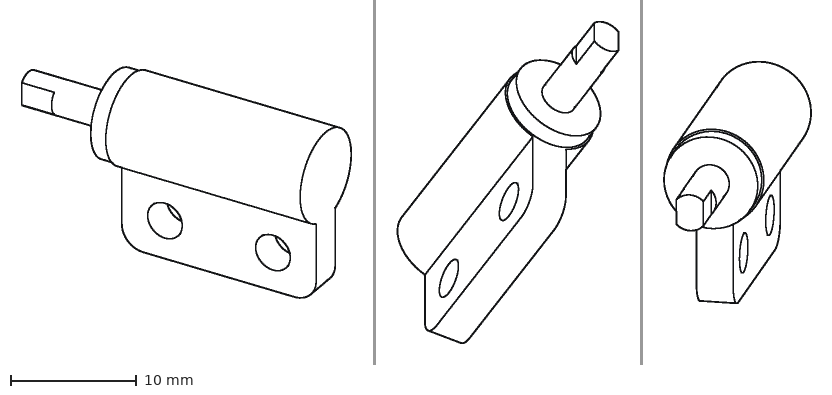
import cadquery as cq


barrel_diameter = 8.0
barrel_length = 18.0
leaf_thickness = 3.0
leaf_bottom_z = -11.0
leaf_corner_radius = 2.0
hole_diameter = 3.2
hole_spacing = 10.0
hole_end_distance = (barrel_length - hole_spacing) / 2
hole_height_above_bottom = 3.5

collar_diameter = 7.65
collar_length = 1.5

shaft_diameter = 3.0
shaft_exposed_length = 8.0
flat_length = 3.0
width_across_flats = 2.2


def rod(diameter, start_x, end_x):
    """Solid cylinder along the X axis."""
    return cq.Workplane("YZ").workplane(offset=start_x).circle(diameter / 2).extrude(end_x - start_x)


def make_leaf():
    """Plate from the barrel axis down, with rounded lower corners and two screw holes."""
    plate = (
        cq.Workplane("XY")
        .box(barrel_length, leaf_thickness, -leaf_bottom_z, centered=(False, True, False))
        .translate((0, 0, leaf_bottom_z))
        .edges("|Y and <Z")
        .fillet(leaf_corner_radius)
    )
    hole_z = leaf_bottom_z + hole_height_above_bottom
    hole_centers = [(hole_end_distance + i * hole_spacing, hole_z) for i in range(2)]
    holes = (
        cq.Workplane("XZ", origin=(0, leaf_thickness / 2, 0))
        .pushPoints(hole_centers)
        .circle(hole_diameter / 2)
        .extrude(leaf_thickness)
    )
    return plate.cut(holes)


def make_housing():
    """Barrel and leaf as one solid."""
    return rod(barrel_diameter, 0, barrel_length).union(make_leaf())


def make_collar():
    """Ring on the front face of the barrel, bored for the shaft."""
    return rod(collar_diameter, -collar_length, 0).cut(rod(shaft_diameter, -collar_length, 0))


def make_shaft():
    """Round shaft through the collar, its free end narrowed by flats on +Y and -Y."""
    tip_x = -collar_length - shaft_exposed_length
    flat_end_x = tip_x + flat_length
    flatted_tip = rod(shaft_diameter, tip_x, flat_end_x).intersect(
        cq.Workplane("XY")
        .box(flat_length, width_across_flats, shaft_diameter, centered=(False, True, True))
        .translate((tip_x, 0, 0))
    )
    return rod(shaft_diameter, flat_end_x, 0).union(flatted_tip)


housing = make_housing().solids()
collar = make_collar().solids()
shaft = make_shaft().solids()

result = cq.Compound.makeCompound([housing.val(), collar.val(), shaft.val()])